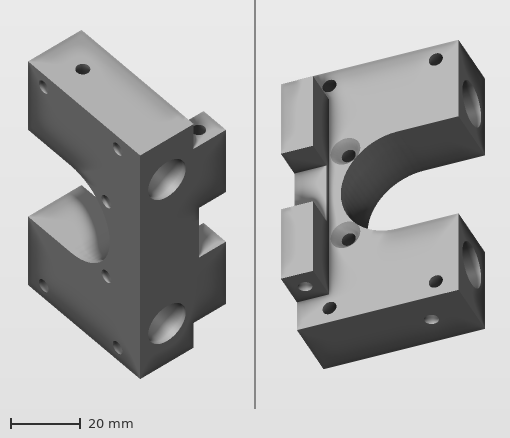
import cadquery as cq
import math

width = 50.0
height = 90.0
body_depth = 20.0

seat_radius = 17.5
seat_center_x = 19.0

bore_diameter = 14.0
bore_offset_z = 29.0
clamp_hole_x = 12.5
screw_hole_diameter = 4.3

corner_hole_left_x = 7.0
corner_hole_right_x = 40.0
corner_hole_z = 40.0
seat_hole_x = 35.0
seat_hole_z = 15.0
countersink_diameter = 9.2
countersink_angle = 90

rail_width = 10.0
rail_depth = 12.1
rail_height = 70.0
notch_height = 20.0
rail_web_depth = 2.0
rail_hole_diameter = 4.2
rail_hole_depth = 15.0
drill_tip_angle = 118

SIDES = (-1, 1)


def box(x, y, z_center, size_x, size_y, size_z):
    """Box with its left front edge at (x, y), centered in height on z_center."""
    corner = cq.Workplane("XY").box(size_x, size_y, size_z, centered=(False, False, True))
    return corner.translate((x, y, z_center))


def hole(start, direction, diameter, length):
    axis = cq.Vector(*direction)
    return cq.Workplane(cq.Solid.makeCylinder(diameter / 2, length, cq.Vector(*start), axis))


def make_slot():
    """Slot whose flanks run tangentially into the round seat."""
    return (
        cq.Workplane("XZ")
        .moveTo(0, -seat_radius)
        .lineTo(seat_center_x, -seat_radius)
        .threePointArc((seat_center_x + seat_radius, 0), (seat_center_x, seat_radius))
        .lineTo(0, seat_radius)
        .close()
        .extrude(-body_depth)
    )


def make_rail():
    rail_x = width - rail_width
    rail = box(rail_x, body_depth, 0, rail_width, rail_depth, rail_height)
    notch_depth = rail_depth - rail_web_depth
    return rail.cut(box(rail_x, body_depth + rail_web_depth, 0, rail_width, notch_depth, notch_height))


def make_countersink(x, z):
    """Cone that opens at the back face of the block."""
    radius = countersink_diameter / 2
    depth = radius / math.tan(math.radians(countersink_angle / 2))
    back = cq.Vector(x, body_depth, z)
    return cq.Workplane(cq.Solid.makeCone(radius, 0, depth, back, cq.Vector(0, -1, 0)))


def make_rail_hole(side):
    """Blind drilled hole with a conical tip, entering one end of the rail."""
    x = width - rail_width / 2
    y = body_depth + rail_depth / 2
    radius = rail_hole_diameter / 2
    tip_length = radius / math.tan(math.radians(drill_tip_angle / 2))
    inward = (0, 0, -side)
    end_z = side * rail_height / 2
    tip_z = end_z - side * rail_hole_depth
    tip = cq.Solid.makeCone(radius, 0, tip_length, cq.Vector(x, y, tip_z), cq.Vector(*inward))
    return hole((x, y, end_z), inward, rail_hole_diameter, rail_hole_depth).union(cq.Workplane(tip))


body = box(0, 0, 0, width, body_depth, height).cut(make_slot())

for side in SIDES:
    body_mid_y = body_depth / 2
    bore_z = side * bore_offset_z
    clamp_hole_length = height / 2 - bore_offset_z
    body = body.cut(hole((0, body_mid_y, bore_z), (1, 0, 0), bore_diameter, width))
    clamp_start = (clamp_hole_x, body_mid_y, side * height / 2)
    body = body.cut(hole(clamp_start, (0, 0, -side), screw_hole_diameter, clamp_hole_length))

    mounting_holes = (
        (corner_hole_left_x, side * corner_hole_z),
        (corner_hole_right_x, side * corner_hole_z),
        (seat_hole_x, side * seat_hole_z),
    )
    for x, z in mounting_holes:
        body = body.cut(hole((x, 0, z), (0, 1, 0), screw_hole_diameter, body_depth))
    body = body.cut(make_countersink(seat_hole_x, side * seat_hole_z))

result = body.union(make_rail())
for side in SIDES:
    result = result.cut(make_rail_hole(side))